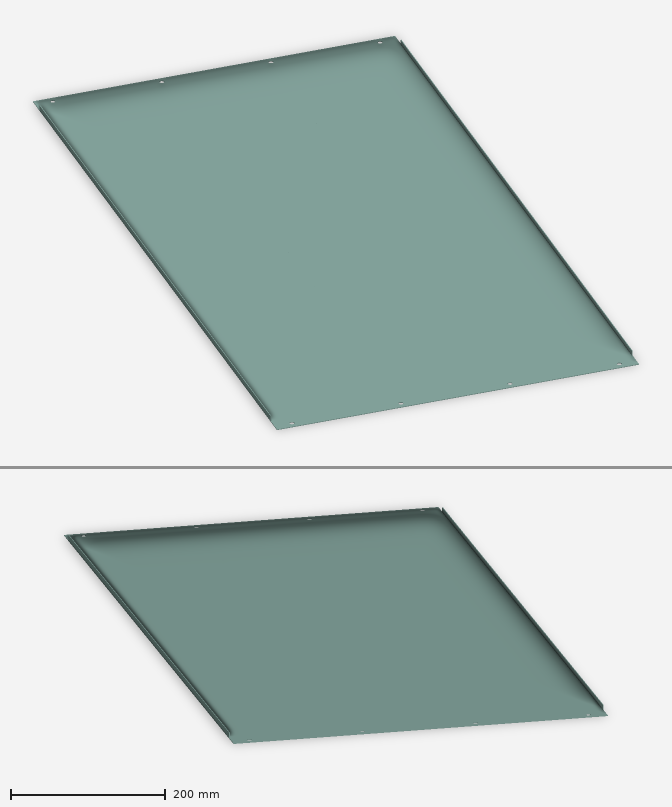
import cadquery as cq

length = 917.0
width = 499.0
height = 8.0
sheet_thickness = 1.0

flange_end_inset = 24.0
flange_length = length - 2 * flange_end_inset

hole_diameter = 6.5
hole_end_distance = 9.0
hole_pitch = 150.0
holes_per_row = 4


def make_base():
    """Flat sheet lying on Z = 0, centred in X and Y."""
    return cq.Workplane("XY").box(length, width, sheet_thickness, centered=(True, True, False))


def make_flange(side):
    """Upright flange flush with a long edge; side is -1 or 1 along Y."""
    center_y = side * (width - sheet_thickness) / 2
    flange = cq.Workplane("XY").box(
        flange_length, sheet_thickness, height, centered=(True, True, False)
    )
    return flange.translate((0, center_y, 0))


def drill_end_holes(panel):
    """Cut one row of holes through the sheet at each short end."""
    row_spacing = length - 2 * hole_end_distance
    return (
        panel.faces("<Z")
        .workplane(origin=(0, 0, 0))
        .rarray(row_spacing, hole_pitch, 2, holes_per_row)
        .hole(hole_diameter, sheet_thickness)
    )


result = make_base()
for flange_side in (-1, 1):
    result = result.union(make_flange(flange_side))
result = drill_end_holes(result)